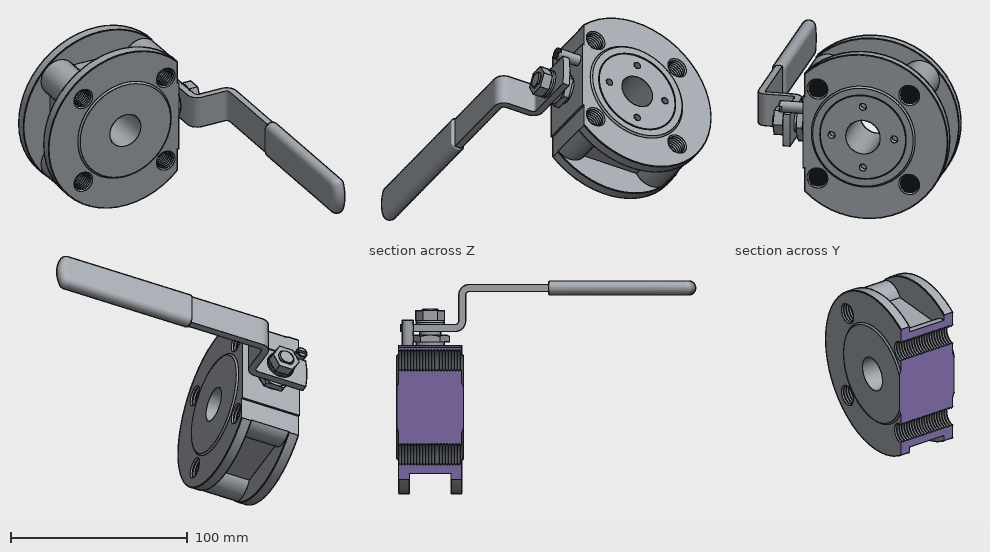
import cadquery as cq
import math


OVERALL_LENGTH = 169.0

FLANGE_RADIUS = 48.8
FLANGE_THICKNESS = 6.3
FLANGE_GAP = 23.3
FLANGE_EDGE = 0.3
FLANGE_FLAT_Y = 34.0
CORE_HALF_WIDTH = 32.0
PAD_WIDTH = 42.2
PAD_Y = 35.0
RAISED_HEIGHT = 1.0
RAISED_DIAMETER = 58.1
BORE_DIAMETER = 20.0

flange_outer_x = FLANGE_GAP / 2 + FLANGE_THICKNESS
face_x = flange_outer_x + RAISED_HEIGHT

BOLT_CIRCLE_RADIUS = 37.5
BOSS_DIAMETER = 22.0
BOLT_MINOR_DIAMETER = 10.3
BOLT_MAJOR_DIAMETER = 12.0
THREAD_PITCH = 1.7

bolt_offset = BOLT_CIRCLE_RADIUS / math.sqrt(2)
bolt_places = [(y, z) for y in (-bolt_offset, bolt_offset) for z in (-bolt_offset, bolt_offset)]

SEAT_DIAMETER = 50.0
SEAT_GROOVE = 0.3
SPANNER_HOLE_COUNT = 4
SPANNER_HOLE_DIAMETER = 4.0
SPANNER_HOLE_DEPTH = 4.0
SPANNER_CIRCLE_RADIUS = 18.0

COLLAR_DIAMETER = 16.0
COLLAR_TOP_Y = 37.0
GLAND_NUT_FLATS = 19.0
GLAND_NUT_TOP_Y = 40.7
GLAND_NUT_BEVEL_HEIGHT = 0.7
GLAND_NUT_BEVEL_WIDTH = 1.4
STEM_DIAMETER = 12.0
STEM_END_DIAMETER = 9.5
STEM_END_FLATS = 7.8
STEM_END_CHAMFER = 0.7
STEM_TIP_Y = 55.6
WASHER_DIAMETER = 16.0
WASHER_THICKNESS = 2.2
WASHER_BEVEL_HEIGHT = 1.0
WASHER_BEVEL_WIDTH = 0.3
TOP_NUT_FLATS = 14.2
TOP_NUT_TOP_Y = 54.6

STOP_DIAMETER = 6.5
STOP_X = -12.7
STOP_Z = 12.8
STOP_TOP_Y = 49.3
STOP_CHAMFER = 0.3
STOP_SLOT_WIDTH = 1.5
STOP_SLOT_DEPTH = 1.7

LEVER_WIDTH = 19.0
LEVER_THICKNESS = 4.0
LEVER_BOTTOM_Y = 42.8
LEVER_END_X = -16.9
LEVER_END_RADIUS = 59.2
LEVER_RISER_X = 20.1
LEVER_UPPER_Y = 69.5
LEVER_BEND = 2.0

lever_top_y = LEVER_BOTTOM_Y + LEVER_THICKNESS
lever_outer_bend = LEVER_BEND + LEVER_THICKNESS
washer_top_y = lever_top_y + WASHER_THICKNESS

GRIP_THICKNESS = 8.1
GRIP_WIDTH = 21.8
GRIP_START_X = 67.0
GRIP_CORNER_X = 144.5
GRIP_START_FILLET = 1.0

grip_radius = GRIP_THICKNESS / 2
grip_axis_y = LEVER_UPPER_Y - LEVER_THICKNESS / 2
grip_axis_z = GRIP_WIDTH / 2 - grip_radius
grip_tip_x = OVERALL_LENGTH - face_x


def cylinder_x(diameter, x_start, x_end, y=0, z=0):
    """Cylinder along X."""
    return cq.Workplane("YZ", origin=(x_start, y, z)).circle(diameter / 2).extrude(x_end - x_start)


def plane_y(y, x=0, z=0):
    """Workplane facing +Y, with its local axes along X and -Z."""
    return cq.Workplane("XZ", origin=(x, y, z)).workplane(invert=True)


def cylinder_y(diameter, y_start, y_end, x=0, z=0):
    """Cylinder along Y."""
    return plane_y(y_start, x, z).circle(diameter / 2).extrude(y_end - y_start)


def hexagon_corner_diameter(flats):
    """Size across the corners of a regular hexagon with the given size across flats."""
    return flats / math.cos(math.radians(30))


def hexagon_y(flats, y_start, y_end):
    """Hexagonal prism along Y with corners on the X axis."""
    corner_radius = hexagon_corner_diameter(flats) / 2
    angles = [math.radians(60 * corner) for corner in range(6)]
    corners = [(corner_radius * math.cos(angle), corner_radius * math.sin(angle)) for angle in angles]
    return plane_y(y_start).polyline(corners).close().extrude(y_end - y_start)


def box(x_range, y_range, z_range):
    """Box between three pairs of limits."""
    starts, ends = zip(x_range, y_range, z_range)
    return cq.Workplane(cq.Solid.makeBox(*[e - s for s, e in zip(starts, ends)], pnt=cq.Vector(*starts)))


def make_flange():
    """Flange disc at +X with softened rims and a flat on the stem side."""
    inner_x = FLANGE_GAP / 2
    disc = cylinder_x(2 * FLANGE_RADIUS, inner_x, flange_outer_x).edges("%CIRCLE").chamfer(FLANGE_EDGE)
    keep = box((inner_x, flange_outer_x), (-FLANGE_RADIUS, FLANGE_FLAT_Y), (-FLANGE_RADIUS, FLANGE_RADIUS))
    return disc.intersect(keep)


def make_housing_block():
    """Flanges, the core and bosses between them, the stem pad and the raised faces."""
    half_gap = FLANGE_GAP / 2
    core_span = (-CORE_HALF_WIDTH, CORE_HALF_WIDTH)
    block = box((-half_gap, half_gap), core_span, core_span)
    for y, z in bolt_places:
        block = block.union(cylinder_x(BOSS_DIAMETER, -half_gap, half_gap, y, z))
    block = block.intersect(box((-half_gap, half_gap), (-FLANGE_RADIUS, FLANGE_FLAT_Y),
                                (-FLANGE_RADIUS, FLANGE_RADIUS)))
    flange = make_flange()
    block = block.union(flange).union(flange.mirror("YZ"))
    block = block.union(box((-flange_outer_x, flange_outer_x), (0, PAD_Y), (-PAD_WIDTH / 2, PAD_WIDTH / 2)))
    base_diameter = RAISED_DIAMETER + 2 * RAISED_HEIGHT
    raised = cylinder_x(base_diameter, -face_x, face_x).edges().chamfer(RAISED_HEIGHT)
    return block.union(raised)


def make_thread_hole():
    """Solid that fills a bolt hole: a rod ringed with V ridges, widest at the flange faces."""
    minor_radius = BOLT_MINOR_DIAMETER / 2
    major_radius = BOLT_MAJOR_DIAMETER / 2
    turns = round(2 * flange_outer_x / THREAD_PITCH)
    pitch = 2 * flange_outer_x / turns
    profile = [(-flange_outer_x, 0)]
    for turn in range(turns):
        crest_x = -flange_outer_x + turn * pitch
        profile += [(crest_x, major_radius), (crest_x + pitch / 2, minor_radius)]
    profile += [(flange_outer_x, major_radius), (flange_outer_x, 0)]
    return cq.Workplane("XY").polyline(profile).close().revolve(360, (0, 0), (1, 0))


def cut_openings(block):
    """Bore, bolt holes, and the spanner holes and ring groove of the seat."""
    block = block.cut(cylinder_x(BORE_DIAMETER, -face_x, face_x))
    thread_hole = make_thread_hole()
    for y, z in bolt_places:
        block = block.cut(thread_hole.translate((0, y, z)))
    for turn in range(SPANNER_HOLE_COUNT):
        angle = 2 * math.pi * turn / SPANNER_HOLE_COUNT
        y = SPANNER_CIRCLE_RADIUS * math.cos(angle)
        z = SPANNER_CIRCLE_RADIUS * math.sin(angle)
        block = block.cut(cylinder_x(SPANNER_HOLE_DIAMETER, -face_x, -face_x + SPANNER_HOLE_DEPTH, y, z))
    groove = cylinder_x(SEAT_DIAMETER, -face_x, -face_x + SEAT_GROOVE)
    groove = groove.cut(cylinder_x(SEAT_DIAMETER - 2 * SEAT_GROOVE, -face_x, -face_x + SEAT_GROOVE))
    return block.cut(groove)


def make_stem_end():
    """Flatted stem end that carries the lever."""
    end = cylinder_y(STEM_END_DIAMETER, LEVER_BOTTOM_Y, STEM_TIP_Y).faces(">Y").chamfer(STEM_END_CHAMFER)
    flats = box((-STEM_END_DIAMETER, STEM_END_DIAMETER), (LEVER_BOTTOM_Y, STEM_TIP_Y),
                (-STEM_END_FLATS / 2, STEM_END_FLATS / 2))
    return end.intersect(flats)


def make_gland_nut():
    """Hexagonal gland nut with its upper corners turned off."""
    nut = hexagon_y(GLAND_NUT_FLATS, COLLAR_TOP_Y, GLAND_NUT_TOP_Y)
    turned = cylinder_y(hexagon_corner_diameter(GLAND_NUT_FLATS), COLLAR_TOP_Y, GLAND_NUT_TOP_Y)
    return nut.intersect(turned.faces(">Y").chamfer(GLAND_NUT_BEVEL_HEIGHT, GLAND_NUT_BEVEL_WIDTH))


def make_stop_pin():
    """Slotted stop pin."""
    pin = cylinder_y(STOP_DIAMETER, FLANGE_FLAT_Y, STOP_TOP_Y, STOP_X, STOP_Z).faces(">Y").chamfer(STOP_CHAMFER)
    slot = box((STOP_X - STOP_DIAMETER, STOP_X + STOP_DIAMETER), (STOP_TOP_Y - STOP_SLOT_DEPTH, STOP_TOP_Y),
               (STOP_Z - STOP_SLOT_WIDTH / 2, STOP_Z + STOP_SLOT_WIDTH / 2))
    return pin.cut(slot)


def make_valve():
    """Housing with its stem, nuts, washer and stop pin."""
    valve = cut_openings(make_housing_block())
    valve = valve.union(cylinder_y(COLLAR_DIAMETER, PAD_Y, COLLAR_TOP_Y))
    valve = valve.union(make_gland_nut())
    valve = valve.union(cylinder_y(STEM_DIAMETER, GLAND_NUT_TOP_Y, LEVER_BOTTOM_Y))
    valve = valve.union(make_stem_end())
    washer = cylinder_y(WASHER_DIAMETER, lever_top_y, washer_top_y)
    valve = valve.union(washer.faces(">Y").chamfer(WASHER_BEVEL_HEIGHT, WASHER_BEVEL_WIDTH))
    valve = valve.union(hexagon_y(TOP_NUT_FLATS, washer_top_y, TOP_NUT_TOP_Y))
    return valve.union(make_stop_pin())


def make_lever():
    """Cranked flat bar with a gently rounded end and a hole that fits the stem end."""
    upper_bottom_y = LEVER_UPPER_Y - LEVER_THICKNESS
    riser_left_x = LEVER_RISER_X - LEVER_THICKNESS
    half_width = LEVER_WIDTH / 2
    corners = [
        (LEVER_END_X, LEVER_BOTTOM_Y),
        (LEVER_RISER_X, LEVER_BOTTOM_Y),
        (LEVER_RISER_X, upper_bottom_y),
        (GRIP_CORNER_X, upper_bottom_y),
        (GRIP_CORNER_X, LEVER_UPPER_Y),
        (riser_left_x, LEVER_UPPER_Y),
        (riser_left_x, lever_top_y),
        (LEVER_END_X, lever_top_y),
    ]
    bar = cq.Workplane("XY").polyline(corners).close().extrude(half_width, both=True)

    def bend_edge(x, y):
        return cq.selectors.NearestToPointSelector((x, y, 0))

    bar = bar.edges(bend_edge(LEVER_RISER_X, LEVER_BOTTOM_Y)).fillet(lever_outer_bend)
    bar = bar.edges(bend_edge(riser_left_x, LEVER_UPPER_Y)).fillet(lever_outer_bend)
    bar = bar.edges(bend_edge(LEVER_RISER_X, upper_bottom_y)).fillet(LEVER_BEND)
    bar = bar.edges(bend_edge(riser_left_x, lever_top_y)).fillet(LEVER_BEND)
    end_centre_x = LEVER_END_X + LEVER_END_RADIUS
    rounding = cylinder_y(2 * LEVER_END_RADIUS, LEVER_BOTTOM_Y, LEVER_UPPER_Y, end_centre_x)
    rounding = rounding.union(
        box((end_centre_x, grip_tip_x), (LEVER_BOTTOM_Y, LEVER_UPPER_Y), (-half_width, half_width))
    )
    return bar.intersect(rounding).cut(make_stem_end())


def make_grip():
    """Flat grip with fully rounded edges and a gently bowed, rounded tip."""
    bow_rise = grip_tip_x - grip_radius - GRIP_CORNER_X
    bow_radius = (grip_axis_z ** 2 + bow_rise ** 2) / (2 * bow_rise)
    bow_angle = 2 * math.degrees(math.asin(grip_axis_z / bow_radius))
    grip = (
        cq.Workplane("XZ", origin=(0, grip_axis_y + grip_radius, 0))
        .moveTo(GRIP_START_X, -grip_axis_z)
        .lineTo(GRIP_CORNER_X, -grip_axis_z)
        .threePointArc((GRIP_CORNER_X + bow_rise, 0), (GRIP_CORNER_X, grip_axis_z))
        .lineTo(GRIP_START_X, grip_axis_z)
        .close()
        .extrude(GRIP_THICKNESS)
    )
    for z in (-grip_axis_z, grip_axis_z):
        grip = grip.union(cylinder_x(GRIP_THICKNESS, GRIP_START_X, GRIP_CORNER_X, grip_axis_y, z))
        grip = grip.union(cq.Workplane("XY", origin=(GRIP_CORNER_X, grip_axis_y, z)).sphere(grip_radius))
    bow_centre_x = GRIP_CORNER_X + bow_rise - bow_radius
    tip = (
        cq.Workplane("XY", origin=(bow_centre_x, grip_axis_y, 0))
        .center(bow_radius, 0)
        .circle(grip_radius)
        .revolve(bow_angle, (-bow_radius, 0), (-bow_radius, 1))
        .rotate((bow_centre_x, 0, 0), (bow_centre_x, 1, 0), -bow_angle / 2)
    )
    return grip.union(tip).faces("<X").edges().fillet(GRIP_START_FILLET)


valve = make_valve()
handle = make_lever().union(make_grip())

result = cq.Compound.makeCompound([valve.solids().val(), handle.solids().val()])